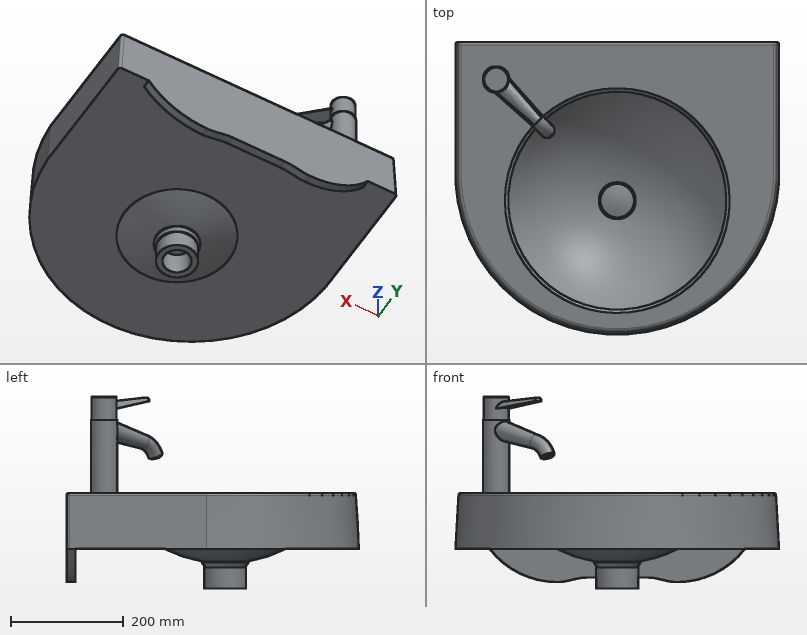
import cadquery as cq
import math


WIDTH = 575.0
RIM_HEIGHT = 99.5
BACK_Y = 282.0
FRONT_Y = -238.0
SIDE_END_Y = 33.5
SIDE_DRAFT = 3.2
EDGE_ROUND = 5.0

BOWL_RADIUS = 195.5
BOWL_FLOOR_Z = -14.5
BOWL_WALL = 11.5
BOWL_LIP = 4.0
BOWL_DEPTH = RIM_HEIGHT - BOWL_FLOOR_Z
BOWL_SPHERE = (BOWL_RADIUS**2 + BOWL_DEPTH**2) / (2 * BOWL_DEPTH)
BOWL_CENTRE_Z = BOWL_FLOOR_Z + BOWL_SPHERE

PIPE_DIAMETER = 75.0
PIPE_TOP_Z = -33.0
PIPE_BOTTOM_Z = -71.0
COLLAR_TOP_DIAMETER = 83.0
COLLAR_BOTTOM_DIAMETER = 71.5
COLLAR_TOP_Z = -24.0
DRAIN_DIAMETER = 52.0
PLUG_DIAMETER = 65.5
PLUG_DOME_DIAMETER = 60.0
PLUG_GAP = 9.0
PLUG_SEAT_Z = BOWL_FLOOR_Z + PLUG_GAP
PLUG_EDGE_THICKNESS = 3.0
PLUG_EDGE_Z = PLUG_SEAT_Z + PLUG_EDGE_THICKNESS
PLUG_CHAMFER = (PLUG_DIAMETER - PLUG_DOME_DIAMETER) / 2
PLUG_DOME_HEIGHT = 4.5
PLUG_STEM_LENGTH = 17.0

SKIRT_THICKNESS = 16.0
SKIRT_HALF_WIDTH = 226.5
SKIRT_LOBE_X = 106.5
SKIRT_LOBE_Z = -59.0
SKIRT_NOTCH_X = 54.5
SKIRT_NOTCH_Z = -51.0

TAP_X = -215.0
TAP_Y = 215.0
TAP_HEADING = -45.0
COLUMN_DIAMETER = 47.0
COLUMN_TOP_Z = 229.0
CAP_DIAMETER = 45.0
CAP_TOP_Z = RIM_HEIGHT + 171.0
CAP_CHAMFER = 1.0

SPOUT_SLOPE = 13.4
SPOUT_AXIS_Z = 214.0
SPOUT_REACH = 99.0
SPOUT_ROOT_DIAMETER = 38.0
SPOUT_END_DIAMETER = 26.0
BEND_RADIUS = 45.0
BEND_ANGLE = 52.0
AERATOR_DIAMETER = 20.0
AERATOR_BORE = 15.0
AERATOR_LENGTH = 8.0
AERATOR_PROTRUSION = 2.5

LEVER_ROOT_Z = 253.5
LEVER_ROOT_WIDTH = 34.5
LEVER_ROOT_THICKNESS = 14.0
LEVER_END_REACH = 105.0
LEVER_END_Z = 265.5
LEVER_END_WIDTH = 18.5
LEVER_END_THICKNESS = 7.0


def cylinder(diameter, bottom, top):
    return cq.Workplane("XY").workplane(offset=bottom).circle(diameter / 2).extrude(top - bottom)


def ball(radius):
    return cq.Workplane("XY").sphere(radius).translate((0, 0, BOWL_CENTRE_Z))


def make_rim():
    half = WIDTH / 2
    overrun_y = BACK_Y + WIDTH / 10
    rim = (
        cq.Workplane("XY")
        .moveTo(half, overrun_y)
        .lineTo(half, SIDE_END_Y)
        .threePointArc((0, FRONT_Y), (-half, SIDE_END_Y))
        .lineTo(-half, overrun_y)
        .close()
        .extrude(RIM_HEIGHT, taper=SIDE_DRAFT)
    )
    behind = cq.Workplane("XY").box(2 * WIDTH, WIDTH, WIDTH).translate((0, BACK_Y + half, 0))
    rim = rim.cut(behind)
    rim = rim.faces(">Y").edges("not(>Z or <Z)").fillet(EDGE_ROUND)
    return rim.faces(">Z").edges().fillet(EDGE_ROUND)


def make_skirt():
    lobe_arc_radius = (
        (SKIRT_HALF_WIDTH - SKIRT_LOBE_X) ** 2 + SKIRT_LOBE_Z**2
    ) / (2 * -SKIRT_LOBE_Z)
    half_sweep = math.atan2(SKIRT_HALF_WIDTH - SKIRT_LOBE_X, lobe_arc_radius + SKIRT_LOBE_Z) / 2
    mid_x = SKIRT_LOBE_X + lobe_arc_radius * math.sin(half_sweep)
    mid_z = SKIRT_LOBE_Z + lobe_arc_radius * (1 - math.cos(half_sweep))
    level = [(-1, 0), (-1, 0)]
    return (
        cq.Workplane("XZ", origin=(0, BACK_Y, 0))
        .moveTo(SKIRT_HALF_WIDTH, 0)
        .threePointArc((mid_x, mid_z), (SKIRT_LOBE_X, SKIRT_LOBE_Z))
        .spline([(SKIRT_NOTCH_X, SKIRT_NOTCH_Z)], tangents=level, includeCurrent=True)
        .lineTo(-SKIRT_NOTCH_X, SKIRT_NOTCH_Z)
        .spline([(-SKIRT_LOBE_X, SKIRT_LOBE_Z)], tangents=level, includeCurrent=True)
        .threePointArc((-mid_x, mid_z), (-SKIRT_HALF_WIDTH, 0))
        .close()
        .extrude(SKIRT_THICKNESS)
    )


def make_basin():
    bowl_underside = ball(BOWL_SPHERE + BOWL_WALL).intersect(
        cylinder(2 * BOWL_RADIUS, PIPE_BOTTOM_Z, RIM_HEIGHT / 2)
    )
    collar = (
        cq.Workplane("XZ")
        .moveTo(0, 0)
        .lineTo(COLLAR_TOP_DIAMETER / 2, 0)
        .lineTo(COLLAR_TOP_DIAMETER / 2, COLLAR_TOP_Z)
        .lineTo(COLLAR_BOTTOM_DIAMETER / 2, PIPE_TOP_Z)
        .lineTo(0, PIPE_TOP_Z)
        .close()
        .revolve(360, (0, 0), (0, 1))
    )
    pipe = cylinder(PIPE_DIAMETER, PIPE_BOTTOM_Z, PIPE_TOP_Z)
    basin = make_rim().union(make_skirt()).union(bowl_underside).union(collar).union(pipe)
    basin = basin.cut(ball(BOWL_SPHERE))
    basin = basin.faces(">Z").edges(bowl_mouth_box()).chamfer(BOWL_LIP)
    return basin.cut(cylinder(DRAIN_DIAMETER, PIPE_BOTTOM_Z, BOWL_FLOOR_Z + BOWL_WALL))


def bowl_mouth_box():
    reach = BOWL_RADIUS + BOWL_LIP
    return cq.selectors.BoxSelector(
        (-reach, -reach, RIM_HEIGHT - BOWL_LIP), (reach, reach, RIM_HEIGHT + BOWL_LIP), boundingbox=True
    )


def make_plug():
    radius = PLUG_DIAMETER / 2
    dome_radius = PLUG_DOME_DIAMETER / 2
    dome_z = PLUG_EDGE_Z + PLUG_CHAMFER
    stem_z = PLUG_SEAT_Z - PLUG_STEM_LENGTH
    dome_sphere = (dome_radius**2 + PLUG_DOME_HEIGHT**2) / (2 * PLUG_DOME_HEIGHT)
    dome_mid_x = dome_radius / 2
    dome_top = dome_z + PLUG_DOME_HEIGHT
    dome_mid_z = dome_top - dome_sphere + math.sqrt(dome_sphere**2 - dome_mid_x**2)
    return (
        cq.Workplane("XZ")
        .moveTo(0, stem_z)
        .lineTo(DRAIN_DIAMETER / 2, stem_z)
        .lineTo(DRAIN_DIAMETER / 2, PLUG_SEAT_Z)
        .lineTo(radius, PLUG_SEAT_Z)
        .lineTo(radius, PLUG_EDGE_Z)
        .lineTo(dome_radius, dome_z)
        .threePointArc((dome_mid_x, dome_mid_z), (0, dome_top))
        .close()
        .revolve(360, (0, 0), (0, 1))
    )




def place_tap(body):
    return body.rotate((0, 0, 0), (0, 0, 1), TAP_HEADING).translate((TAP_X, TAP_Y, 0))


def make_column():
    return cylinder(COLUMN_DIAMETER, RIM_HEIGHT, COLUMN_TOP_Z)


def make_cap():
    return cylinder(CAP_DIAMETER, COLUMN_TOP_Z, CAP_TOP_Z).faces(">Z").chamfer(CAP_CHAMFER)


def direction_below(angle):
    return cq.Vector(math.cos(math.radians(angle)), 0, -math.sin(math.radians(angle)))


def cross_plane(point, direction):
    return cq.Workplane(cq.Plane(origin=point, xDir=(0, 1, 0), normal=direction))


def bend_point(angle):
    """Point on the bend axis after turning down by the given angle."""
    slope = math.radians(SPOUT_SLOPE)
    turned = math.radians(SPOUT_SLOPE + angle)
    start_z = SPOUT_AXIS_Z - SPOUT_REACH * math.tan(slope)
    x = SPOUT_REACH + BEND_RADIUS * (math.sin(turned) - math.sin(slope))
    z = start_z - BEND_RADIUS * (math.cos(slope) - math.cos(turned))
    return cq.Vector(x, 0, z)


OUTLET = bend_point(BEND_ANGLE)
OUTLET_DIRECTION = direction_below(SPOUT_SLOPE + BEND_ANGLE)


def make_aerator_blank():
    recess_start = OUTLET - OUTLET_DIRECTION * (AERATOR_LENGTH - AERATOR_PROTRUSION)
    return cross_plane(recess_start, OUTLET_DIRECTION).circle(AERATOR_DIAMETER / 2).extrude(AERATOR_LENGTH)


def make_aerator():
    bore = cross_plane(OUTLET, OUTLET_DIRECTION).circle(AERATOR_BORE / 2).extrude(AERATOR_LENGTH)
    return make_aerator_blank().cut(bore)


def make_spout():
    slope_direction = direction_below(SPOUT_SLOPE)
    tube_length = SPOUT_REACH / slope_direction.x
    tube = (
        cross_plane((0, 0, SPOUT_AXIS_Z), slope_direction)
        .circle(SPOUT_ROOT_DIAMETER / 2)
        .workplane(offset=tube_length)
        .circle(SPOUT_END_DIAMETER / 2)
        .loft()
    )
    bend_axis = cq.Workplane("XZ").moveTo(bend_point(0).x, bend_point(0).z).threePointArc(
        (bend_point(BEND_ANGLE / 2).x, bend_point(BEND_ANGLE / 2).z), (OUTLET.x, OUTLET.z)
    )
    bend = cross_plane(bend_point(0), slope_direction).circle(SPOUT_END_DIAMETER / 2).sweep(bend_axis)
    tap_core = cylinder(COLUMN_DIAMETER, RIM_HEIGHT, CAP_TOP_Z)
    return tube.union(bend).cut(tap_core).cut(make_aerator_blank())


def lever_section(x, z, width, thickness):
    bottom = z - thickness / 2
    section = (
        cq.Workplane("YZ", origin=(x, 0, 0))
        .moveTo(-width / 2, bottom)
        .threePointArc((0, bottom + thickness), (width / 2, bottom))
        .close()
    )
    return section.val()


def make_lever():
    root = lever_section(0, LEVER_ROOT_Z, LEVER_ROOT_WIDTH, LEVER_ROOT_THICKNESS)
    end = lever_section(LEVER_END_REACH, LEVER_END_Z, LEVER_END_WIDTH, LEVER_END_THICKNESS)
    lever = cq.Workplane(cq.Solid.makeLoft([root, end], True))
    return lever.cut(cylinder(CAP_DIAMETER, COLUMN_TOP_Z, CAP_TOP_Z))


basin = make_basin()
plug = make_plug()
column = place_tap(make_column())
cap = place_tap(make_cap())
spout = place_tap(make_spout())
aerator = place_tap(make_aerator())
lever = place_tap(make_lever())

bodies = [basin, plug, column, cap, spout, aerator, lever]
result = cq.Compound.makeCompound([solid for body in bodies for solid in body.solids().vals()])